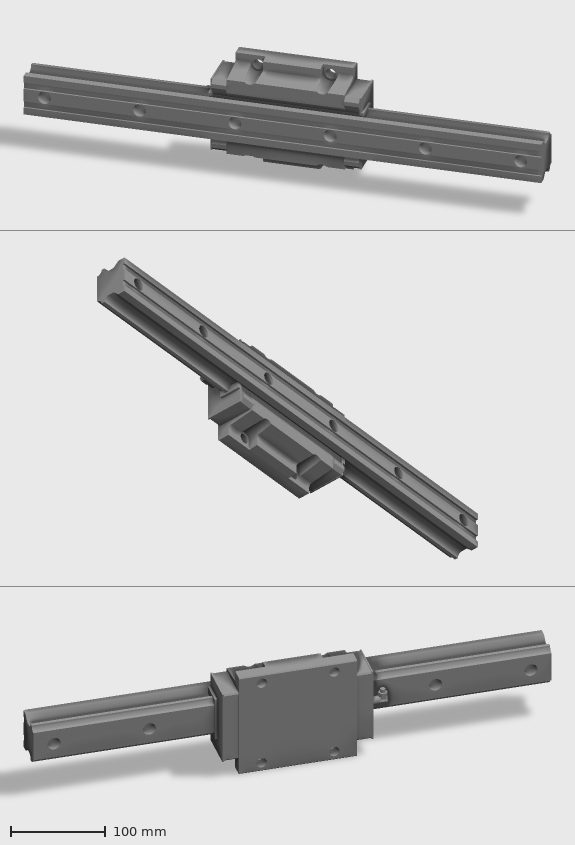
import cadquery as cq
import math


RAIL_LENGTH = 570.0
RAIL_HEIGHT = 38.0
RAIL_HALF_WIDTH = 23.0
RAIL_TOP_HALF_WIDTH = 17.0
RAIL_NECK_HALF_WIDTH = 16.5
BEAD_TOP = 32.0
BEAD_BOTTOM = 28.0
NECK_TOP = 21.5
NECK_BOTTOM = 15.5
FOOT_HEIGHT = 8.5
RELIEF_OUTER = 15.0
RELIEF_INNER = 7.5
RELIEF_DEPTH = 2.0
RAIL_HOLE_DIAMETER = 14.0
RAIL_HOLE_COUNT = 6
RAIL_HOLE_PITCH = 105.0

TOP = 60.0
BOTTOM = 12.0
BLOCK_LENGTH = 130.0
FLANGE_WIDTH = 120.0
FLANGE_UNDERSIDE = 45.0
FLANGE_CHAMFER = 1.0
PAD_UNDERSIDE = 34.0
PAD_EDGE_HALF_WIDTH = 59.0
WALL_TOP_HALF_WIDTH = 48.5
WALL_BOTTOM_HALF_WIDTH = 44.0
FLANGE_FILLET = 4.0
PAD_FILLET = 3.0
MOUTH_HALF_WIDTH = 28.0
MOUTH_BEVEL_HEIGHT = 3.0
BOLT_SPACING_X = 80.0
BOLT_SPACING_Z = 100.0
BOLT_HOLE_DIAMETER = 11.5
SPOTFACE_DIAMETER = 16.5

CARRIAGE_LENGTH = 166.0
CAP_HALF_WIDTH = 41.5
CAP_TOP = 58.5
CAP_CHAMFER = 1.5
CAP_SIDE_BOTTOM = 14.0
CAP_LOWEST = 9.5
CAP_RIDGE_OUTER = 37.5
CAP_RIDGE_INNER = 33.0
CAP_INNER_BOTTOM = 15.5
PLATE_THICKNESS = 1.5
PLATE_HALF_WIDTH = 42.0
PLATE_BOTTOM = 13.0
SEAL_PROTRUSION = 3.0
SEAL_HALF_WIDTH = 25.0
SEAL_TOP = 39.5

NIPPLE_HEIGHT = 49.5
STEM_RADIUS = 4.5
ELBOW_OFFSET = 13.0
ELBOW_LENGTH = 8.0
ELBOW_ACROSS_CORNERS = 11.5
HEAD_ACROSS_CORNERS = 10.0
HEAD_TOP = 9.0
TIP_RADIUS = 3.0
TIP_TOP = 13.0

END_FACE_X = CARRIAGE_LENGTH / 2
ACROSS = cq.Plane(origin=(0, 0, 0), xDir=(0, 0, 1), normal=(-1, 0, 0))


def lengthwise(outline, x_from, x_to):
    """Extrude a closed (Z, Y) outline along X, from x_from to x_to."""
    return outline.extrude(x_to - x_from).translate((x_to, 0, 0))


def polygon(points):
    return cq.Workplane(ACROSS).polyline(points).close()


def slab(x_from, x_to, half_width, y_from, y_to):
    """Box centred on Z = 0."""
    return cq.Workplane("XY").box(
        x_to - x_from, y_to - y_from, 2 * half_width, centered=(False, False, True)
    ).translate((x_from, y_from, 0))


def along_y(x, z, radius):
    """Cylinder through the whole height."""
    return cq.Workplane("XZ", origin=(x, TOP, z)).circle(radius).extrude(TOP)


def rail_half():
    """Cross-section of the +Z half of the rail, without the relief grooves."""
    diagonal = math.sqrt(0.5)
    upper_depth = RAIL_HEIGHT - BEAD_TOP
    upper_width = RAIL_HALF_WIDTH - RAIL_TOP_HALF_WIDTH
    lower_depth = BEAD_BOTTOM - NECK_TOP
    lower_width = RAIL_HALF_WIDTH - RAIL_NECK_HALF_WIDTH
    return (
        cq.Workplane(ACROSS)
        .moveTo(0, 0)
        .lineTo(0, RAIL_HEIGHT)
        .lineTo(RAIL_TOP_HALF_WIDTH, RAIL_HEIGHT)
        .threePointArc(
            (RAIL_HALF_WIDTH - upper_width * diagonal, RAIL_HEIGHT - upper_depth * diagonal),
            (RAIL_HALF_WIDTH, BEAD_TOP),
        )
        .lineTo(RAIL_HALF_WIDTH, BEAD_BOTTOM)
        .threePointArc(
            (RAIL_HALF_WIDTH - lower_width * diagonal, NECK_TOP + lower_depth * diagonal),
            (RAIL_NECK_HALF_WIDTH, NECK_TOP),
        )
        .lineTo(RAIL_NECK_HALF_WIDTH, NECK_BOTTOM)
        .lineTo(RAIL_HALF_WIDTH, FOOT_HEIGHT)
        .lineTo(RAIL_HALF_WIDTH, 0)
        .close()
    )


def rail_bar():
    half = lengthwise(rail_half(), -RAIL_LENGTH / 2, RAIL_LENGTH / 2)
    return half.union(half.mirror("XY"))


def make_rail():
    rail = rail_bar()
    relief_width = RELIEF_OUTER - RELIEF_INNER
    for side in (-1, 1):
        centre_z = side * (RELIEF_OUTER + RELIEF_INNER) / 2
        relief = slab(-RAIL_LENGTH / 2, RAIL_LENGTH / 2, relief_width / 2, 0, RELIEF_DEPTH)
        rail = rail.cut(relief.translate((0, 0, centre_z)))
    for i in range(RAIL_HOLE_COUNT):
        x = (i - (RAIL_HOLE_COUNT - 1) / 2) * RAIL_HOLE_PITCH
        rail = rail.cut(along_y(x, 0, RAIL_HOLE_DIAMETER / 2))
    return rail.solids()


def wall_half_width(y):
    """Half width of the drafted side wall at height y."""
    draft = (WALL_TOP_HALF_WIDTH - WALL_BOTTOM_HALF_WIDTH) / (FLANGE_UNDERSIDE - BOTTOM)
    return WALL_BOTTOM_HALF_WIDTH + draft * (y - BOTTOM)


def flanged_half(length, edge_points, fillet_radius):
    """+Z half of a flanged body; edge_points lead down the outer face to the flange underside."""
    underside = edge_points[-1][1]
    outline = polygon([
        (0, BOTTOM),
        (0, TOP),
        (FLANGE_WIDTH / 2 - FLANGE_CHAMFER, TOP),
        (FLANGE_WIDTH / 2, TOP - FLANGE_CHAMFER),
        *edge_points,
        (wall_half_width(underside), underside),
        (WALL_BOTTOM_HALF_WIDTH, BOTTOM),
    ])
    body = lengthwise(outline, -length / 2, length / 2)
    corner = cq.selectors.NearestToPointSelector((0, underside, wall_half_width(underside)))
    return body.edges("|X").edges(corner).fillet(fillet_radius)


def spotface_slot(x):
    """Round-ended slot that clears each bolt seat, open to the flange's outer edge."""
    bolt_z = BOLT_SPACING_Z / 2
    slot_bottom = cq.Workplane("XZ", origin=(x, FLANGE_UNDERSIDE, bolt_z))
    round_end = slot_bottom.circle(SPOTFACE_DIAMETER / 2).extrude(FLANGE_UNDERSIDE)
    opening = cq.Workplane("XY").box(
        SPOTFACE_DIAMETER, FLANGE_UNDERSIDE, bolt_z, centered=(True, False, False)
    )
    return round_end.union(opening.translate((x, 0, bolt_z)))


def make_block():
    flange_edge = (FLANGE_WIDTH / 2, FLANGE_UNDERSIDE)
    pad_edge = (PAD_EDGE_HALF_WIDTH, PAD_UNDERSIDE)
    half = flanged_half(BLOCK_LENGTH, [flange_edge], FLANGE_FILLET)
    half = half.union(flanged_half(BOLT_SPACING_X, [flange_edge, pad_edge], PAD_FILLET))
    for x in (-BOLT_SPACING_X / 2, BOLT_SPACING_X / 2):
        half = half.cut(spotface_slot(x))
        half = half.cut(along_y(x, BOLT_SPACING_Z / 2, BOLT_HOLE_DIAMETER / 2))
    bevel = polygon([
        (0, BOTTOM),
        (MOUTH_HALF_WIDTH, BOTTOM),
        (RAIL_HALF_WIDTH, BOTTOM + MOUTH_BEVEL_HEIGHT),
        (0, BOTTOM + MOUTH_BEVEL_HEIGHT),
    ])
    half = half.cut(lengthwise(bevel, -BLOCK_LENGTH / 2, BLOCK_LENGTH / 2))
    return half.union(half.mirror("XY"))


def make_end_cap():
    """Cap, end plate and protruding seal at the +X end, before the rail passage is cut."""
    plate_inner_x = END_FACE_X - PLATE_THICKNESS
    half_outline = polygon([
        (0, CAP_INNER_BOTTOM),
        (0, CAP_TOP),
        (CAP_HALF_WIDTH - CAP_CHAMFER, CAP_TOP),
        (CAP_HALF_WIDTH, CAP_TOP - CAP_CHAMFER),
        (CAP_HALF_WIDTH, CAP_SIDE_BOTTOM),
        (CAP_RIDGE_OUTER, CAP_LOWEST),
        (CAP_RIDGE_INNER, CAP_LOWEST),
        (RAIL_HALF_WIDTH, CAP_INNER_BOTTOM),
    ])
    half = lengthwise(half_outline, BLOCK_LENGTH / 2, plate_inner_x)
    plate = slab(plate_inner_x, END_FACE_X, PLATE_HALF_WIDTH, PLATE_BOTTOM, CAP_TOP)
    seal = slab(
        plate_inner_x, END_FACE_X + SEAL_PROTRUSION, SEAL_HALF_WIDTH, PLATE_BOTTOM, SEAL_TOP
    )
    return half.union(half.mirror("XY")).union(plate).union(seal)


def make_carriage():
    cap = make_end_cap()
    carriage = make_block().union(cap).union(cap.mirror("YZ"))
    return carriage.cut(rail_bar()).solids()


def make_nipple():
    """Elbow nipple on the -X end plate: stem and elbow along X, head turned up to +Z."""
    axis = cq.Plane(origin=(-END_FACE_X, NIPPLE_HEIGHT, 0), xDir=(0, 1, 0), normal=(-1, 0, 0))
    stem = cq.Workplane(axis).circle(STEM_RADIUS).extrude(ELBOW_OFFSET)
    elbow_start = cq.Workplane(axis).workplane(offset=ELBOW_OFFSET - ELBOW_LENGTH / 2)
    elbow = elbow_start.polygon(6, ELBOW_ACROSS_CORNERS).extrude(ELBOW_LENGTH)
    upright = cq.Workplane("XY", origin=(-END_FACE_X - ELBOW_OFFSET, NIPPLE_HEIGHT, 0))
    head = upright.polygon(6, HEAD_ACROSS_CORNERS).extrude(HEAD_TOP)
    tip = upright.circle(TIP_RADIUS).extrude(TIP_TOP)
    return stem.union(elbow).union(head).union(tip).solids()


rail = make_rail()
carriage = make_carriage()
nipple = make_nipple()

result = cq.Compound.makeCompound([rail.val(), carriage.val(), nipple.val()])